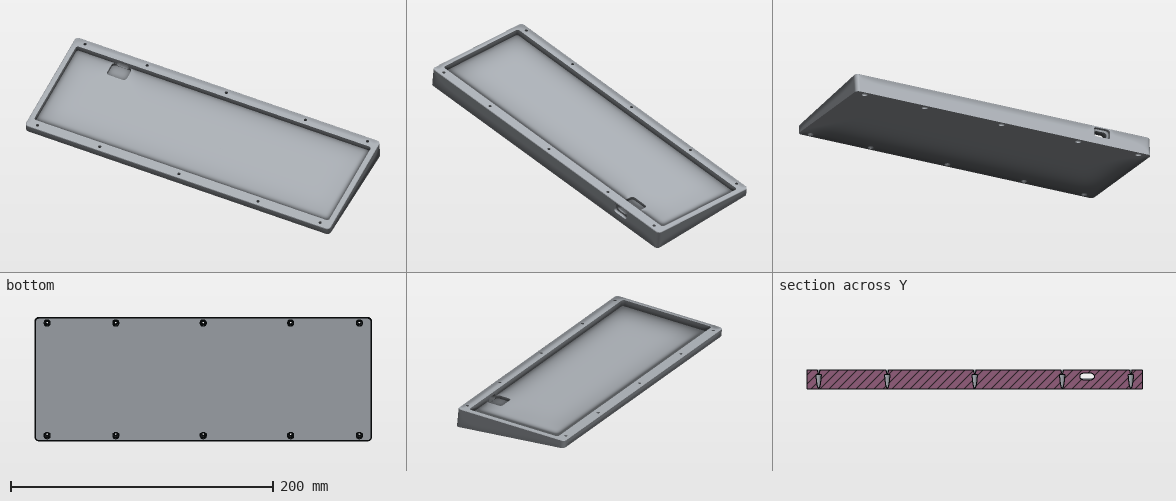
import cadquery as cq
import math

width = 256.7
depth = 94.2
height = 15.1
tilt_angle = 5.5
corner_radius = 3.0
top_chamfer = 0.39

side_rim = 4.0
end_rim = 8.0
well_depth = 5.1
well_corner_radius = 2.0

screw_diameter = 2.5
screw_inset = 3.9
screw_grip = 3.9
head_diameter = 4.5
screw_offsets = (-119.0, -66.7, 0.0, 66.7, 119.0)

slot_center_x = -85.7
slot_width = 10.8
slot_height = 4.5
slot_center_drop = 5.1
slot_reach = 3.9
recess_width = 16.5
recess_length = 12.3
recess_depth = 2.5
recess_corner_radius = 2.5
plug_width = 13.9
plug_height = 8.0
plug_depth = 2.5
plug_corner_radius = 2.0

tilt = math.radians(tilt_angle)
chamfer_loss = top_chamfer * math.sin(tilt)
sharp_depth = depth + chamfer_loss
sharp_height = height + chamfer_loss
top_length = (sharp_depth - sharp_height * math.tan(tilt)) / math.cos(tilt)
well_width = width - 2 * side_rim
well_length = top_length - 2 * end_rim
well_back_y = top_length / 2 - end_rim
blank_thickness = 2 * height


def rounded_block(size_x, size_y, thickness, radius):
    """Block with rounded upright corners whose top face is centred on the origin."""
    block = cq.Workplane("XY").rect(size_x, size_y).extrude(-thickness)
    return block.edges("|Z").fillet(radius)


def key_well():
    """Tool for the well that takes the keys."""
    return rounded_block(well_width, well_length, well_depth, well_corner_radius)


def screw_holes():
    """Tool for the two rows of screw holes and their larger head bores."""
    row_y = top_length / 2 - screw_inset
    centers = [(x, y) for x in screw_offsets for y in (-row_y, row_y)]
    top = cq.Workplane("XY").pushPoints(centers)
    shanks = top.circle(screw_diameter / 2).extrude(-blank_thickness)
    heads = top.circle(head_diameter / 2).extrude(screw_grip - blank_thickness)
    return shanks.union(heads.translate((0, 0, -screw_grip)))


def connector_slot():
    """Tool through the back wall that also reaches a little way over the recess."""
    slot = cq.Workplane("XZ").slot2D(slot_width, slot_height).extrude(end_rim + slot_reach)
    return slot.translate((slot_center_x, top_length / 2, -slot_center_drop))


def connector_recess():
    """Tool for the pocket in the well floor against the back wall."""
    recess = rounded_block(recess_width, recess_length, recess_depth, recess_corner_radius)
    return recess.translate((slot_center_x, well_back_y - recess_length / 2, -well_depth))


def plug_recess():
    """Tool for the shallow pocket around the slot on the outer back face."""
    recess = cq.Workplane("XZ").rect(plug_width, plug_height).extrude(plug_depth)
    recess = recess.edges("|Y").fillet(plug_corner_radius)
    return recess.translate((slot_center_x, top_length / 2, -slot_center_drop))


def above_base():
    """Space above the level base plane, large enough to hold the whole tray."""
    return cq.Workplane("XY").box(2 * width, 2 * depth, 2 * height, centered=(True, True, False))


tray = rounded_block(width, top_length, blank_thickness, corner_radius)
tray = tray.faces(">Z").chamfer(top_chamfer)
tray = tray.cut(key_well())
tray = tray.cut(connector_recess())
tray = tray.cut(connector_slot())
tray = tray.cut(plug_recess())
tray = tray.cut(screw_holes())

top_center_y = top_length / 2 * math.cos(tilt) - depth / 2 - chamfer_loss
top_center_z = sharp_height - top_length / 2 * math.sin(tilt)
tray = tray.rotate((0, 0, 0), (1, 0, 0), tilt_angle)
tray = tray.translate((0, top_center_y, top_center_z))
result = tray.intersect(above_base())